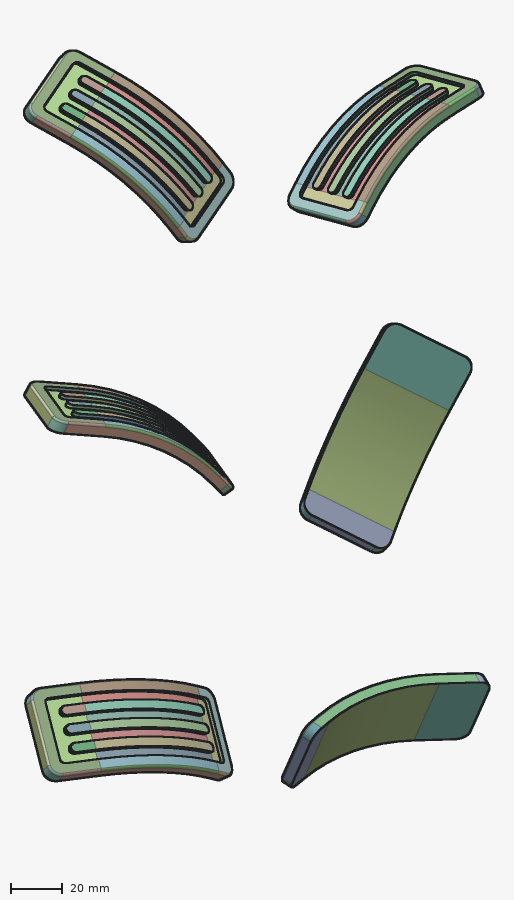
import cadquery as cq
import math

width = 38.0
thickness = 5.0
outer_radius = 86.0
start_slope = 13.0
end_slope = 50.4
start_length = 20.5
end_length = 10.3
start_lean = 15.6
end_lean = -8.4
corner_radius = 5.0
edge_radius = 1.0

recess_depth = 1.5
rim_side = 5.0
rim_start = 5.2
rim_end = 5.1
recess_corner_radius = 1.95
rib_count = 3
rib_width = 4.0
rib_pitch = 8.0
rib_start = 10.65
rib_end = 10.0
rib_corner_radius = 1.95


def bend_point(depth, slope, run=0.0):
    """Point below the top face where the path slopes by `slope`, moved `run` downhill."""
    angle = math.radians(slope)
    radius = outer_radius - depth
    x = radius * math.sin(angle) + run * math.cos(angle)
    z = radius * math.cos(angle) - run * math.sin(angle)
    return (x, z)


def bent_slab(top, bottom, start_inset, end_inset, slab_width, corner):
    """Slab between two depths, inset from the pad ends, with rounded end corners."""
    start_shift = math.tan(math.radians(start_lean))
    end_shift = math.tan(math.radians(end_lean))
    mid_slope = (start_slope + end_slope) / 2

    def start_point(depth):
        return bend_point(depth, start_slope, start_inset - start_length - depth * start_shift)

    def end_point(depth):
        return bend_point(depth, end_slope, end_length - end_inset + depth * end_shift)

    slab = (
        cq.Workplane("XZ")
        .moveTo(*start_point(top))
        .lineTo(*bend_point(top, start_slope))
        .threePointArc(bend_point(top, mid_slope), bend_point(top, end_slope))
        .lineTo(*end_point(top))
        .lineTo(*end_point(bottom))
        .lineTo(*bend_point(bottom, end_slope))
        .threePointArc(bend_point(bottom, mid_slope), bend_point(bottom, start_slope))
        .lineTo(*start_point(bottom))
        .close()
        .extrude(slab_width / 2, both=True)
    )
    corners = []
    for point in (start_point, end_point):
        x_top, z_top = point(top)
        x_bottom, z_bottom = point(bottom)
        for side in (-1, 1):
            middle = ((x_top + x_bottom) / 2, side * slab_width / 2, (z_top + z_bottom) / 2)
            corners.append(cq.selectors.NearestToPointSelector(middle))
    edges = [slab.edges(selector).val() for selector in corners]
    return slab.newObject(edges).fillet(corner)


def top_rim(pad):
    """Any edge of the outer bent face; the fillet follows the tangent outline."""
    x, z = bend_point(0, (start_slope + end_slope) / 2)
    return pad.edges(cq.selectors.NearestToPointSelector((x, width / 2, z)))


pad = bent_slab(0, thickness, 0, 0, width, corner_radius)
pad = top_rim(pad).fillet(edge_radius)

recess = bent_slab(0, recess_depth, rim_start, rim_end, width - 2 * rim_side, recess_corner_radius)
rib = bent_slab(0, recess_depth, rib_start, rib_end, rib_width, rib_corner_radius)
for index in range(rib_count):
    offset = (index - (rib_count - 1) / 2) * rib_pitch
    recess = recess.cut(rib.translate((0, offset, 0)))

result = pad.cut(recess)